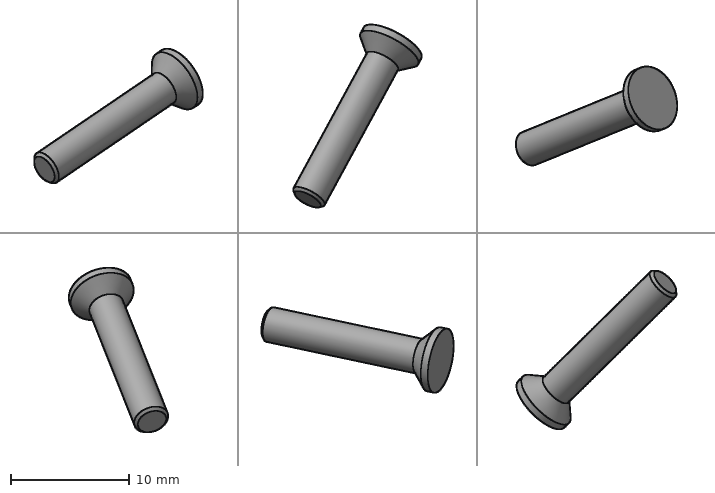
import cadquery as cq

total_length = 16.0
head_diameter = 5.55
shank_diameter = 3.0
rim_thickness = 0.64
tip_chamfer = 0.25

head_radius = head_diameter / 2
shank_radius = shank_diameter / 2
cone_height = head_radius - shank_radius
head_height = rim_thickness + cone_height

profile = (
    cq.Workplane("XY")
    .moveTo(0, 0)
    .lineTo(head_radius, 0)
    .lineTo(head_radius, -rim_thickness)
    .lineTo(shank_radius, -head_height)
    .lineTo(shank_radius, -total_length + tip_chamfer)
    .lineTo(shank_radius - tip_chamfer, -total_length)
    .lineTo(0, -total_length)
    .close()
)

result = profile.revolve(360, (0, 0, 0), (0, 1, 0))